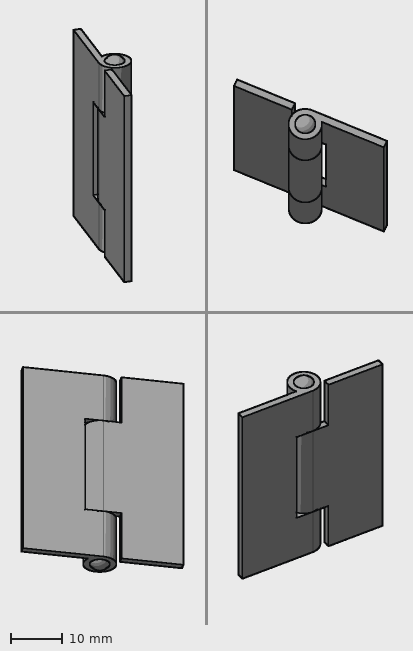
import cadquery as cq

hinge_width = 32.0
leaf_height = 40.0
overall_height = 42.2
leaf_thickness = 1.5
knuckle_radius = 3.25
pin_radius = 2.0
side_clearance = 0.4

half_width = hinge_width / 2
half_height = leaf_height / 2
middle_height = leaf_height / 2
end_height = (leaf_height - middle_height) / 2
dome_height = (overall_height - leaf_height) / 2
notch_edge = knuckle_radius + side_clearance


def leaf_plate(side, inner_edge, bottom, height):
    """Flat plate tangent to the knuckles; side is -1 for left and 1 for right."""
    length = half_width - inner_edge
    return cq.Workplane("XY").box(length, leaf_thickness, height, centered=(True, False, False)).translate(
        (side * (inner_edge + length / 2), -knuckle_radius, bottom)
    )


def knuckle_section(side, bottom, height):
    """Knuckle barrel with the strip of leaf that runs into it, bored for the pin."""
    barrel = cq.Workplane("XY").workplane(offset=bottom).circle(knuckle_radius).extrude(height)
    bore = cq.Workplane("XY").workplane(offset=bottom).circle(pin_radius).extrude(height)
    return barrel.union(leaf_plate(side, 0, bottom, height)).cut(bore)


def make_left_leaf():
    """Leaf with a knuckle at each end and a notch for the middle knuckle."""
    leaf = leaf_plate(-1, notch_edge, -half_height, leaf_height)
    for bottom in (-half_height, half_height - end_height):
        leaf = leaf.union(knuckle_section(-1, bottom, end_height))
    return leaf


def make_right_leaf():
    """Leaf with one middle knuckle between two corner notches."""
    leaf = leaf_plate(1, notch_edge, -half_height, leaf_height)
    return leaf.union(knuckle_section(1, -middle_height / 2, middle_height))


def make_pin():
    """Round pin filling the bore, with a shallow spherical dome on each end."""
    dome_radius = (pin_radius**2 + dome_height**2) / (2 * dome_height)
    end_height_on_axis = half_height + dome_height
    mid_radius = pin_radius / 2
    mid_height = end_height_on_axis - dome_radius + (dome_radius**2 - mid_radius**2) ** 0.5
    profile = (
        cq.Workplane("XZ")
        .moveTo(0, -end_height_on_axis)
        .threePointArc((mid_radius, -mid_height), (pin_radius, -half_height))
        .lineTo(pin_radius, half_height)
        .threePointArc((mid_radius, mid_height), (0, end_height_on_axis))
        .close()
    )
    return profile.revolve(360, (0, 0, 0), (0, 1, 0))


left_leaf = make_left_leaf()
right_leaf = make_right_leaf()
pin = make_pin()

result = cq.Compound.makeCompound([left_leaf.val(), right_leaf.val(), pin.val()])